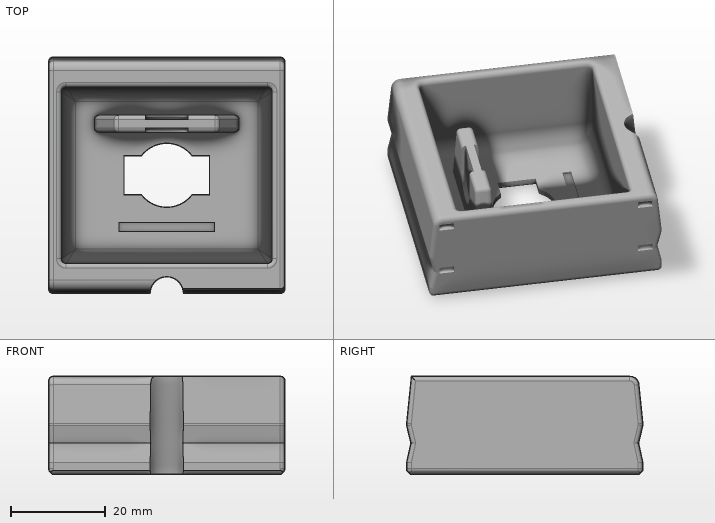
import cadquery as cq

LENGTH = 50.0
WIDTH = 50.0
HEIGHT = 20.75
HALF_LENGTH = LENGTH / 2
HALF_WIDTH = WIDTH / 2
SELECTION_MARGIN = 0.5
RIM_INSET = 1.0
GROOVE_DEPTH = 0.9
FLARE_Z = 2.55
GROOVE_Z = 6.6
RIDGE_LOW_Z = 10.3
RIDGE_HIGH_Z = 10.8
BOTTOM_CHAMFER = 0.8
END_FILLET = 1.0
RIM_FILLET = 2.0

NOTCH_RADIUS = 3.5

CAVITY_LENGTH = 44.6
CAVITY_WIDTH = 37.3
FLOOR_Z = 2.0
FLOOR_FILLET = 3.0
CAVITY_CORNER_RADIUS = 1.0
CAVITY_RIM_FILLET = 1.0

KEY_LENGTH = 18.0
KEY_WIDTH = 8.2
KEY_DIAMETER = 13.5
KEY_CHAMFER = 0.75

POCKET_LENGTH = 20.1
POCKET_WIDTH = 1.9
POCKET_DEPTH = 0.5
POCKET_Y = -10.95

TAB_Y = 10.9
TAB_THICKNESS = 3.6
TAB_BASE_LENGTH = 30.6
TAB_TOP_LENGTH = 21.9
TAB_TOP_Z = 16.5
TAB_FILLET = 0.95
TAB_RECESS_RADIUS = 4.5
TAB_RECESS_DEPTH = TAB_FILLET
TAB_RECESS_CENTER_Z = 10.05

STRAP_Y = 21.35
STRAP_WIDTH = 3.15
STRAP_Z = 12.8
STRAP_INNER_RADIUS = 5.0
STRAP_OUTER_RADIUS = 6.5


def make_block():
    """Grooved block with its end-face edges rounded."""
    right_side = [
        (HALF_WIDTH, 0),
        (HALF_WIDTH, FLARE_Z),
        (HALF_WIDTH - GROOVE_DEPTH, GROOVE_Z),
        (HALF_WIDTH, RIDGE_LOW_Z),
        (HALF_WIDTH, RIDGE_HIGH_Z),
        (HALF_WIDTH - RIM_INSET, HEIGHT),
    ]
    left_side = [(-y, z) for y, z in reversed(right_side)]
    block = (
        cq.Workplane("YZ")
        .polyline(right_side + left_side)
        .close()
        .extrude(HALF_LENGTH, both=True)
    )
    block = block.faces("<Z").edges().chamfer(BOTTOM_CHAMFER)

    notch = cq.Workplane("XY").center(0, -HALF_WIDTH).circle(NOTCH_RADIUS).extrude(HEIGHT)
    block = block.cut(notch)

    rim = block.faces(">Z").edges("|X")
    rounded_rim = rim.filter(lambda edge: edge.Center().y > 0 or edge.Center().x < 0)
    block = rounded_rim.fillet(RIM_FILLET)
    return block.faces("<X or >X").edges().fillet(END_FILLET)


def edges_within(length, width, z):
    """Selector for the edges at height z inside a centred rectangle."""
    reach_x = length / 2 + SELECTION_MARGIN
    reach_y = width / 2 + SELECTION_MARGIN
    return cq.selectors.BoxSelector(
        (-reach_x, -reach_y, z - SELECTION_MARGIN),
        (reach_x, reach_y, z + SELECTION_MARGIN),
    )


def make_cavity():
    """Solid that hollows the block, with a rounded floor and rounded corners."""
    cavity = (
        cq.Workplane("XY")
        .workplane(offset=FLOOR_Z)
        .rect(CAVITY_LENGTH, CAVITY_WIDTH)
        .extrude(HEIGHT - FLOOR_Z)
    )
    cavity = cavity.faces("<Z").edges().fillet(FLOOR_FILLET)
    return cavity.edges("|Z").fillet(CAVITY_CORNER_RADIUS)


def make_tab():
    """Tapered upright tab with a round-bottomed recess in both faces."""
    profile = [
        (-TAB_BASE_LENGTH / 2, FLOOR_Z),
        (TAB_BASE_LENGTH / 2, FLOOR_Z),
        (TAB_TOP_LENGTH / 2, TAB_TOP_Z),
        (-TAB_TOP_LENGTH / 2, TAB_TOP_Z),
    ]
    tab = cq.Workplane("XZ").polyline(profile).close().extrude(TAB_THICKNESS / 2, both=True)
    tab = tab.edges("not <Z").fillet(TAB_FILLET)

    recess = (
        cq.Workplane("XZ")
        .center(0, TAB_RECESS_CENTER_Z)
        .circle(TAB_RECESS_RADIUS)
        .extrude(TAB_RECESS_DEPTH)
    )
    recess_top = (
        cq.Workplane("XY")
        .workplane(offset=TAB_RECESS_CENTER_Z)
        .center(0, -TAB_RECESS_DEPTH / 2)
        .rect(2 * TAB_RECESS_RADIUS, TAB_RECESS_DEPTH)
        .extrude(HEIGHT - TAB_RECESS_CENTER_Z)
    )
    recess = recess.union(recess_top)
    core = TAB_THICKNESS / 2 - TAB_RECESS_DEPTH
    front_recess = recess.translate((0, -core, 0))
    tab = tab.cut(front_recess).cut(front_recess.mirror("XZ"))
    return tab.translate((0, TAB_Y, 0))


def make_key_opening():
    """Bar joined with a circle, through the floor."""
    bar = cq.Workplane("XY").rect(KEY_LENGTH, KEY_WIDTH).extrude(FLOOR_Z)
    return bar.union(cq.Workplane("XY").circle(KEY_DIAMETER / 2).extrude(FLOOR_Z))


def make_pocket():
    return (
        cq.Workplane("XY")
        .workplane(offset=FLOOR_Z - POCKET_DEPTH)
        .center(0, POCKET_Y)
        .rect(POCKET_LENGTH, POCKET_WIDTH)
        .extrude(POCKET_DEPTH)
    )


def make_strap_tunnel(y):
    """Ring centred on the -X face, so its two mouths lie one above the other."""
    return (
        cq.Workplane("XZ", origin=(-HALF_LENGTH, y, STRAP_Z))
        .circle(STRAP_OUTER_RADIUS)
        .circle(STRAP_INNER_RADIUS)
        .extrude(STRAP_WIDTH / 2, both=True)
    )


body = make_block().cut(make_cavity())
body = body.edges(edges_within(CAVITY_LENGTH, CAVITY_WIDTH, HEIGHT)).fillet(CAVITY_RIM_FILLET)

body = body.cut(make_key_opening())
body = body.edges(edges_within(KEY_LENGTH, KEY_DIAMETER, 0)).chamfer(KEY_CHAMFER)

body = body.cut(make_pocket())
for tunnel_y in (-STRAP_Y, STRAP_Y):
    body = body.cut(make_strap_tunnel(tunnel_y))

result = body.union(make_tab())